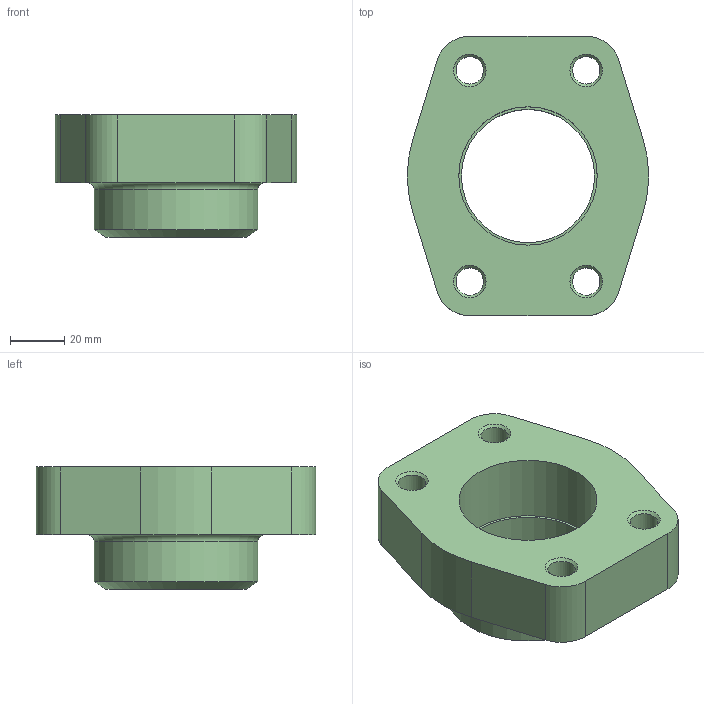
import cadquery as cq
import math

flange_width = 89.0
flange_length = 103.0
flange_thickness = 25.0

bolt_spacing_x = 42.9
bolt_spacing_y = 77.8
bolt_core_diameter = 10.11
bolt_mouth_diameter = 12.0
bolt_mouth_angle = 90.0

overall_height = 45.0
neck_diameter = 60.3
neck_fillet = 2.5
bevel_width = 4.3
bevel_height = 2.75

upper_bore_diameter = 51.0
lower_bore_diameter = 49.1
upper_bore_depth = 25.0

neck_length = overall_height - flange_thickness
side_radius = flange_width / 2
bolt_x = bolt_spacing_x / 2
bolt_y = bolt_spacing_y / 2
corner_radius = flange_length / 2 - bolt_y


def flange_plate():
    """Plate with side arcs about the bore axis, corner arcs about the bolts and tangents between."""
    center_distance = math.hypot(bolt_x, bolt_y)
    bolt_angle = math.atan2(bolt_y, bolt_x)
    normal_angle = bolt_angle - math.acos((side_radius - corner_radius) / center_distance)
    middle_angle = (normal_angle + math.pi / 2) / 2

    side_x = side_radius * math.cos(normal_angle)
    side_y = side_radius * math.sin(normal_angle)
    corner_x = bolt_x + corner_radius * math.cos(normal_angle)
    corner_y = bolt_y + corner_radius * math.sin(normal_angle)
    corner_mid_x = bolt_x + corner_radius * math.cos(middle_angle)
    corner_mid_y = bolt_y + corner_radius * math.sin(middle_angle)
    end_y = flange_length / 2

    return (
        cq.Workplane("XY")
        .moveTo(side_x, -side_y)
        .threePointArc((side_radius, 0), (side_x, side_y))
        .lineTo(corner_x, corner_y)
        .threePointArc((corner_mid_x, corner_mid_y), (bolt_x, end_y))
        .lineTo(-bolt_x, end_y)
        .threePointArc((-corner_mid_x, corner_mid_y), (-corner_x, corner_y))
        .lineTo(-side_x, side_y)
        .threePointArc((-side_radius, 0), (-side_x, -side_y))
        .lineTo(-corner_x, -corner_y)
        .threePointArc((-corner_mid_x, -corner_mid_y), (-bolt_x, -end_y))
        .lineTo(bolt_x, -end_y)
        .threePointArc((corner_mid_x, -corner_mid_y), (corner_x, -corner_y))
        .close()
        .extrude(flange_thickness)
    )


def welding_neck():
    """Revolved neck with a concave fillet under the flange and a weld bevel at its lower end."""
    neck_radius = neck_diameter / 2
    fillet_mid = neck_fillet * (1 - math.sqrt(0.5))
    return (
        cq.Workplane("XZ")
        .moveTo(0, 0)
        .lineTo(neck_radius + neck_fillet, 0)
        .threePointArc((neck_radius + fillet_mid, -fillet_mid), (neck_radius, -neck_fillet))
        .lineTo(neck_radius, bevel_height - neck_length)
        .lineTo(neck_radius - bevel_width, -neck_length)
        .lineTo(0, -neck_length)
        .close()
        .revolve(360, (0, 0, 0), (0, 1, 0))
    )


def stepped_bore():
    """Cutter for the through bore and its wider upper part."""
    lower = (
        cq.Workplane("XY")
        .workplane(offset=-neck_length)
        .circle(lower_bore_diameter / 2)
        .extrude(overall_height)
    )
    upper = (
        cq.Workplane("XY")
        .workplane(offset=flange_thickness - upper_bore_depth)
        .circle(upper_bore_diameter / 2)
        .extrude(upper_bore_depth)
    )
    return lower.union(upper)


def cut_bolt_holes(body):
    """Through holes with countersunk mouths on the top face."""
    return (
        body.faces(">Z")
        .workplane(origin=(0, 0, flange_thickness))
        .rect(bolt_spacing_x, bolt_spacing_y, forConstruction=True)
        .vertices()
        .cskHole(bolt_core_diameter, bolt_mouth_diameter, bolt_mouth_angle)
    )


result = cut_bolt_holes(flange_plate().union(welding_neck()).cut(stepped_bore()))